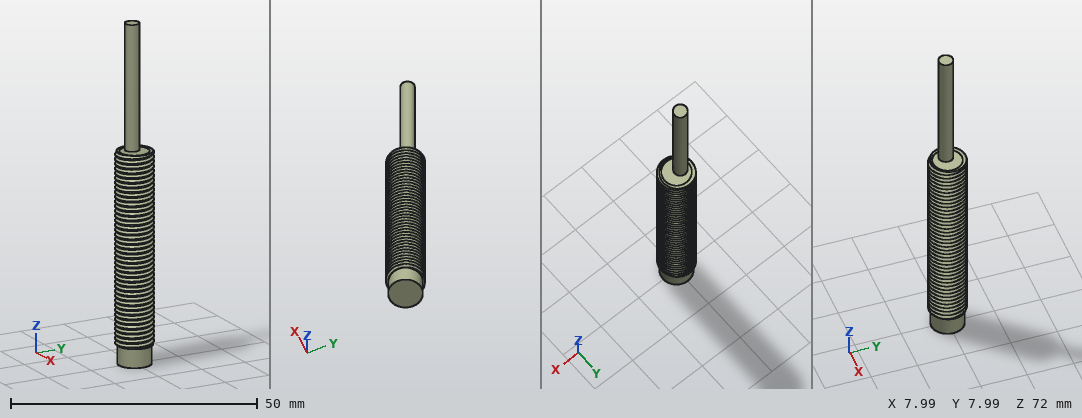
import cadquery as cq

total_length = 72.0
nose_length = 4.0
housing_top = 45.1
housing_length = housing_top - nose_length
cable_length = total_length - housing_top

nose_radius = 3.5
core_radius = 3.1
cable_radius = 1.5
cable_offset = 1.0

crest_radius = 3.995
root_radius = 3.45
thread_pitch = 1.0
half_pitch = thread_pitch / 2
root_height_at_plus_x = 4.2

spare_turns = 2
thread_turns = round(housing_length / thread_pitch) + 2 * spare_turns
thread_start = root_height_at_plus_x - spare_turns * thread_pitch
thread_end = thread_start + thread_turns * thread_pitch


def cylinder(radius, length, bottom, x=0):
    """Vertical cylinder standing on the height `bottom`."""
    return cq.Workplane("XY", origin=(x, 0, bottom)).circle(radius).extrude(length)


def half_turn(radius, height, half):
    """Half a turn of the helix that passes the +X side at `height`; half 0 starts at +X, half 1 at -X."""
    start = cq.Vector(0, 0, height + half * half_pitch)
    helix = cq.Wire.makeHelix(thread_pitch, half_pitch, radius, center=start)
    return helix.rotate(cq.Vector(0, 0, 0), cq.Vector(0, 0, 1), 180 * half)


def helical_band(lower, upper):
    """Surface of one turn, in two halves, between helices given as (radius, height)."""
    return [
        cq.Face.makeRuledSurface(half_turn(*lower, half), half_turn(*upper, half)) for half in range(2)
    ]


def wall_section(bottom):
    """Radial section of one turn of the threaded wall, on the +X side."""
    top = bottom + thread_pitch
    corners = [
        (core_radius, bottom),
        (root_radius, bottom),
        (crest_radius, bottom + half_pitch),
        (root_radius, top),
        (core_radius, top),
    ]
    outline = cq.Wire.makePolygon([cq.Vector(x, 0, z) for x, z in corners], close=True)
    return cq.Face.makeFromWires(outline)


def threaded_wall():
    """Helical strip of thread and wall whose turns join into a tube, with ragged ends."""
    faces = []
    for end in (thread_start, thread_end):
        faces.append(wall_section(end))
        faces += helical_band((core_radius, end), (root_radius, end))
    for turn in range(thread_turns):
        bottom = thread_start + turn * thread_pitch
        lower_bore, upper_bore = (core_radius, bottom), (core_radius, bottom + thread_pitch)
        lower_root, upper_root = (root_radius, bottom), (root_radius, bottom + thread_pitch)
        crest = (crest_radius, bottom + half_pitch)
        faces += helical_band(lower_root, crest)
        faces += helical_band(crest, upper_root)
        faces += helical_band(lower_bore, upper_bore)
    return cq.Workplane(cq.Solid.makeSolid(cq.Shell.makeShell(faces)))


def make_housing():
    """Threaded tube, open and flat at both ends."""
    waste_radius = 2 * crest_radius
    waste_length = (spare_turns + 2) * thread_pitch
    below = cylinder(waste_radius, waste_length, nose_length - waste_length)
    above = cylinder(waste_radius, waste_length, housing_top)
    return threaded_wall().cut(below, clean=False).cut(above, clean=False).solids()


nose = cylinder(nose_radius, nose_length, 0)
housing = make_housing()
core = cylinder(core_radius, housing_length, nose_length)
cable = cylinder(cable_radius, cable_length, housing_top, -cable_offset)

result = cq.Compound.makeCompound([nose.val(), housing.val(), core.val(), cable.val()])